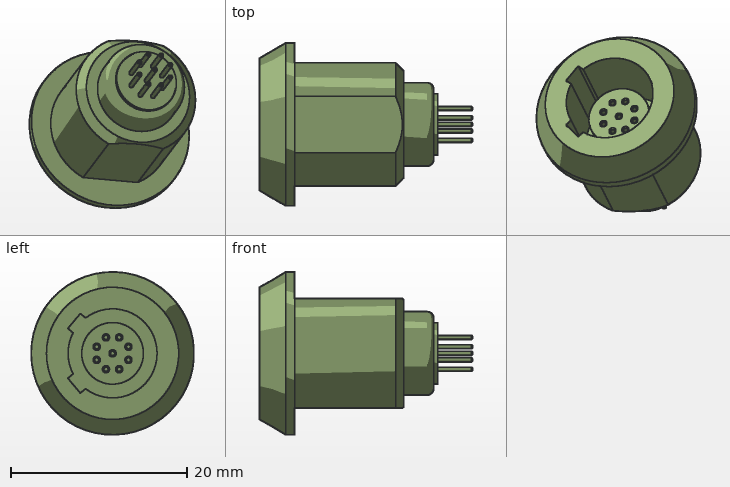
import cadquery as cq
import math

cone_end = 3.0
flange_end = 4.0
insulator_start = 4.6
body_end = 16.4
barrel_end = 19.8
insulator_end = 20.25
pin_end = 24.2

front_face_radius = 7.5
flange_radius = 9.25
body_radius = 7.0
barrel_radius = 4.75
insulator_radius = 3.5

body_chamfer = 0.95
barrel_fillet = 0.8
across_flats = 12.45

bore_radius = 5.05
bore_depth = 10.0
keyway_width = 2.2
keyway_reach = 5.7
keyway_angle = 40.0

ring_contact_count = 8
ring_radius = 1.95
ring_start_angle = 180.0 / ring_contact_count
pin_radius = 0.25
pin_tip_chamfer = 0.15
contact_mouth_radius = 0.4
contact_hole_radius = 0.25
contact_hole_depth = 2.0


def rod(radius, start, end):
    """Cylinder along X between two axial stations."""
    return cq.Workplane("YZ", origin=(start, 0, 0)).circle(radius).extrude(end - start)


def make_flange():
    """Disc flange with a conical front."""
    profile = [
        (0, 0),
        (0, front_face_radius),
        (cone_end, flange_radius),
        (flange_end, flange_radius),
        (flange_end, 0),
    ]
    return cq.Workplane("XY").polyline(profile).close().revolve(360, (0, 0, 0), (1, 0, 0))


def make_body():
    """Round body with a chamfered rear edge and flats on top and bottom."""
    body = rod(body_radius, flange_end, body_end).faces(">X").chamfer(body_chamfer)
    flat_limits = cq.Workplane("XY").box(
        body_end, 2 * body_radius, across_flats, centered=(False, True, True)
    )
    return body.intersect(flat_limits)


def make_barrel():
    """Rear barrel with a rounded end and the insulator showing behind it."""
    barrel = rod(barrel_radius, body_end, barrel_end).faces(">X").edges().fillet(barrel_fillet)
    return barrel.union(rod(insulator_radius, barrel_end, insulator_end))


def make_keyway(angle):
    """Radial keyway along the bore, at an angle from +Y about the X axis."""
    keyway = cq.Workplane("XY").box(
        bore_depth, keyway_reach, keyway_width, centered=(False, False, True)
    )
    return keyway.rotate((0, 0, 0), (1, 0, 0), angle)


def make_socket():
    """Volume removed from the front: bore and keyways, around the insulator post."""
    socket = rod(bore_radius, 0, bore_depth)
    for angle in (keyway_angle, -keyway_angle):
        socket = socket.union(make_keyway(angle))
    return socket.cut(rod(insulator_radius, insulator_start, bore_depth))


def contact_positions():
    """(Y, Z) centres of all contacts."""
    positions = [(0, 0)]
    for index in range(ring_contact_count):
        angle = math.radians(ring_start_angle + index * 360.0 / ring_contact_count)
        positions.append((ring_radius * math.cos(angle), ring_radius * math.sin(angle)))
    return positions


def make_pin():
    """Solder pin on the axis, with a chamfered tip."""
    return rod(pin_radius, insulator_end, pin_end).faces(">X").chamfer(pin_tip_chamfer)


def make_contact_hole():
    """Blind contact hole on the axis, with a 45 degree countersunk mouth."""
    countersink_end = insulator_start + contact_mouth_radius - contact_hole_radius
    hole_end = insulator_start + contact_hole_depth
    profile = [
        (insulator_start, 0),
        (insulator_start, contact_mouth_radius),
        (countersink_end, contact_hole_radius),
        (hole_end, contact_hole_radius),
        (hole_end, 0),
    ]
    return cq.Workplane("XY").polyline(profile).close().revolve(360, (0, 0, 0), (1, 0, 0))


connector = make_flange().union(make_body()).union(make_barrel()).cut(make_socket())
for y, z in contact_positions():
    connector = connector.union(make_pin().translate((0, y, z)))
    connector = connector.cut(make_contact_hole().translate((0, y, z)))

result = connector